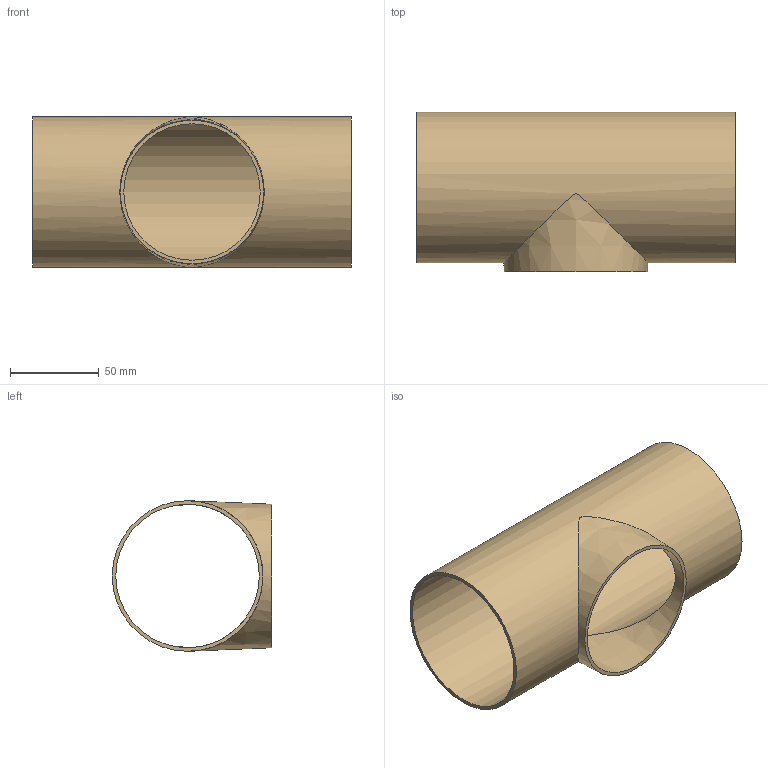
import cadquery as cq

RUN_LENGTH = 180.0
RUN_OUTER_DIAMETER = 85.0
WALL = 2.0

BRANCH_REACH = 47.5
BRANCH_END_DIAMETER = 81.0

run_outer_radius = RUN_OUTER_DIAMETER / 2
run_bore_radius = run_outer_radius - WALL
branch_end_outer_radius = BRANCH_END_DIAMETER / 2
branch_end_bore_radius = branch_end_outer_radius - WALL


def run_cylinder(radius):
    """Solid cylinder along X over the full run length."""
    return cq.Workplane("YZ").circle(radius).extrude(RUN_LENGTH / 2, both=True)


def branch_cone(root_radius, end_radius):
    """Solid truncated cone from the run axis out to the branch end, pointing to -Y."""
    outward = cq.Vector(0, -1, 0)
    cone = cq.Solid.makeCone(root_radius, end_radius, BRANCH_REACH, dir=outward)
    return cq.Workplane("XY").add(cone)


def tee_body(run_radius, branch_end_radius):
    """Run and branch joined; the branch is as wide as the run where it starts at the run axis."""
    return run_cylinder(run_radius).union(branch_cone(run_radius, branch_end_radius))


outer_body = tee_body(run_outer_radius, branch_end_outer_radius)
inner_body = tee_body(run_bore_radius, branch_end_bore_radius)
result = outer_body.cut(inner_body)